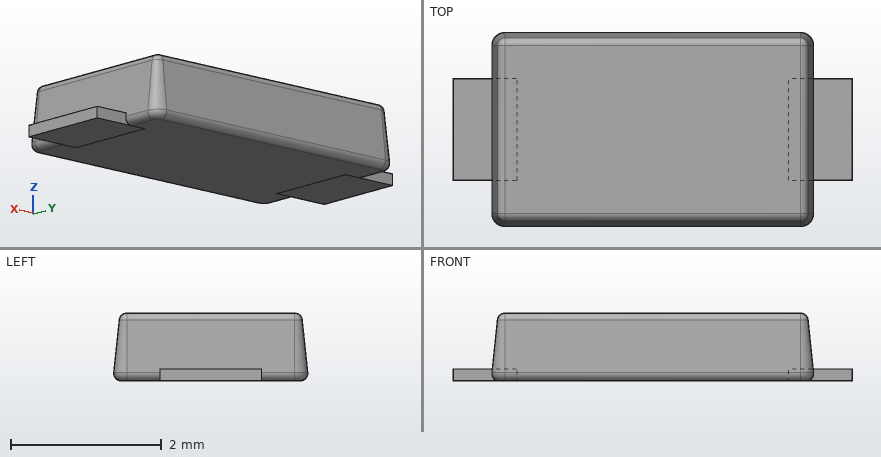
import cadquery as cq
import math

overall_length = 5.3
body_height = 0.9

body_length = 4.3
body_width = 2.6
draft_angle = 6.0
edge_radius = 0.1
top_corner_margin = 0.0025

lead_length = 0.85
lead_width = 1.35
lead_thickness = 0.16

draft_inset = body_height * math.tan(math.radians(draft_angle))
top_fillet_inset = edge_radius * math.tan(math.radians((90 - draft_angle) / 2))
corner_radius = draft_inset + top_fillet_inset + top_corner_margin


def make_lead(side):
    """Lead at the -X end (side = -1) or the +X end (side = 1)."""
    center_x = side * (overall_length - lead_length) / 2
    return (
        cq.Workplane("XY")
        .center(center_x, 0)
        .box(lead_length, lead_width, lead_thickness, centered=(True, True, False))
    )


def make_housing(leads):
    """Drafted block with rounded edges and a matching recess for each lead."""
    profile = cq.Sketch().rect(body_length, body_width).vertices().fillet(corner_radius)
    housing = cq.Workplane("XY").placeSketch(profile).extrude(body_height, taper=draft_angle)
    housing = housing.faces("<Z or >Z").edges().fillet(edge_radius)
    for lead in leads:
        housing = housing.cut(lead)
    return housing.solids()


leads = [make_lead(side) for side in (-1, 1)]
housing = make_housing(leads)

result = cq.Compound.makeCompound([housing.val(), *[lead.val() for lead in leads]])